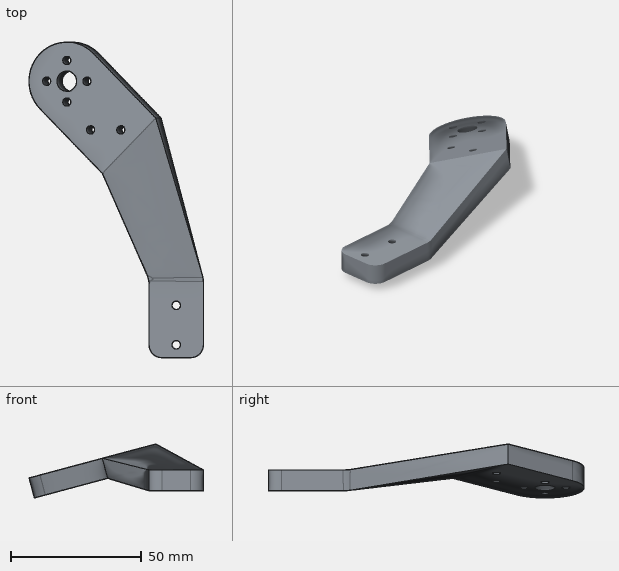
import cadquery as cq
import math

thickness = 8.0
screw_hole_dia = 3.2

foot_width = 21.0
foot_length = 30.1
foot_corner_radius = 5.0
foot_hole_positions = (5.0, 20.1)

head_center = (-42.1, 106.2, 8.8)
head_tilt = 15
head_turn = -45
head_radius = 15.0
head_length = 35.0
bore_dia = 7.8
bolt_circle_radius = 8.0
bolt_count = 4
pair_hole_points = ((9.5, -18.7), (21.5, -18.7))

bend_radius = 10.0

tilt = math.radians(head_tilt)
head_plane = cq.Plane(
    origin=head_center,
    xDir=(math.cos(tilt), 0, math.sin(tilt)),
    normal=(-math.sin(tilt), 0, math.cos(tilt)),
)
head_axis_plane = head_plane.rotated((0, 0, head_turn))


def make_foot():
    """Flat plate with two rounded outer corners."""
    plate = cq.Workplane("XY").box(
        foot_width, foot_length, thickness, centered=(True, False, False)
    )
    return plate.edges("|Z and <Y").fillet(foot_corner_radius)


def make_head():
    """Tilted plate with a round end."""
    return (
        cq.Workplane(head_axis_plane)
        .moveTo(head_length, head_radius)
        .lineTo(0, head_radius)
        .threePointArc((-head_radius, 0), (0, -head_radius))
        .lineTo(head_length, -head_radius)
        .close()
        .extrude(-thickness)
    )


def make_arm():
    """Twisted bar joining the end face of the head to the end face of the foot."""
    half_width = foot_width / 2
    foot_end = [
        cq.Vector(-half_width, foot_length, 0),
        cq.Vector(half_width, foot_length, 0),
        cq.Vector(half_width, foot_length, thickness),
        cq.Vector(-half_width, foot_length, thickness),
    ]
    head_end = [
        head_axis_plane.toWorldCoords((head_length, side * head_radius, depth))
        for side, depth in ((-1, -thickness), (1, -thickness), (1, 0), (-1, 0))
    ]
    sections = [cq.Wire.makePolygon(points, close=True) for points in (foot_end, head_end)]
    return cq.Workplane(cq.Solid.makeLoft(sections, True))


def round_bend(body):
    """Round the four edges where the arm meets the foot, the two side edges first."""
    half_width = foot_width / 2
    edge_middles = (
        (-half_width, foot_length, thickness / 2),
        (half_width, foot_length, thickness / 2),
        (0, foot_length, thickness),
        (0, foot_length, 0),
    )
    for middle in edge_middles:
        body = body.edges(cq.selectors.NearestToPointSelector(middle)).fillet(bend_radius)
    return body


def drill(body, plane, points, diameter):
    """Cut through holes at points on the plane, along its normal."""
    cutters = cq.Workplane(plane).pushPoints(points).circle(diameter / 2).extrude(thickness, both=True)
    return body.cut(cutters)


body = make_foot().union(make_arm()).union(make_head())
body = round_bend(body)

foot_hole_points = [(0, y) for y in foot_hole_positions]
bolt_points = [
    (bolt_circle_radius * math.cos(angle), bolt_circle_radius * math.sin(angle))
    for angle in (2 * math.pi * i / bolt_count for i in range(bolt_count))
]
body = drill(body, cq.Plane.XY(), foot_hole_points, screw_hole_dia)
body = drill(body, head_plane, [(0, 0)], bore_dia)
body = drill(body, head_plane, bolt_points, screw_hole_dia)
result = drill(body, head_plane, pair_hole_points, screw_hole_dia)